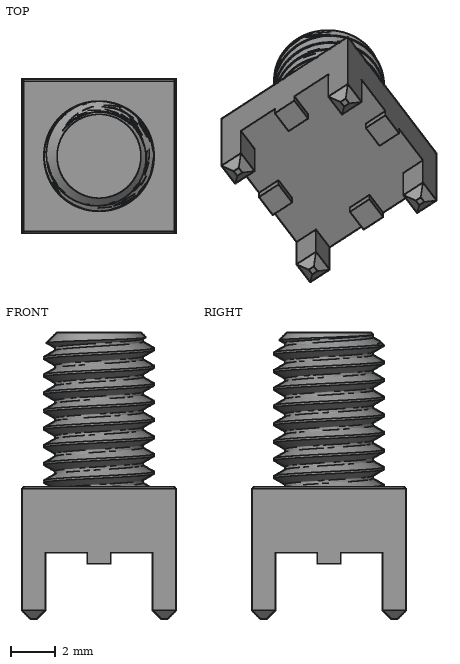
import math

import cadquery as cq

body_width = 7.0
body_height = 3.0
body_top_chamfer = 0.1

leg_width = 1.08
pin_length = 3.0
pin_tip_chamfer = 0.4
standoff_height = 0.5
leg_offset = (body_width - leg_width) / 2

major_diameter = 5.0
pitch = 0.8
stud_length = 7.0
stud_tip_chamfer = 0.6
flank_half_angle = math.radians(30)
crest_flat = pitch / 8
sharp_v_height = pitch / (2 * math.tan(flank_half_angle))
thread_depth = sharp_v_height * 17 / 24
root_above_body = 0.235

major_radius = major_diameter / 2
root_radius = major_radius - thread_depth
root_flat = pitch - crest_flat - 2 * thread_depth * math.tan(flank_half_angle)
spiral_steps = 8


def make_body():
    """Square block with a small chamfer around its top face."""
    block = cq.Workplane("XY").box(body_width, body_width, body_height, centered=(True, True, False))
    return block.faces(">Z").edges().chamfer(body_top_chamfer)


def make_leg(x, y, length):
    """Square post hanging from the bottom face of the body."""
    return cq.Workplane("XY").center(x, y).rect(leg_width, leg_width).extrude(-length)


def make_pin(x, y):
    """Corner pin with its end tapered on all four sides."""
    return make_leg(x, y, pin_length).faces("<Z").edges().chamfer(pin_tip_chamfer)


def flank_points(side):
    """Points from root to crest along a flank's spiral in the stud's cross-section.

    A straight flank on a helix cuts a horizontal plane in a spiral whose radius grows evenly with angle.
    The groove is centred on angle zero, and side (+1 or -1) selects the flank.
    """
    root_angle = math.pi * root_flat / pitch
    crest_angle = math.pi * (pitch - crest_flat) / pitch
    points = []
    for step in range(spiral_steps + 1):
        fraction = step / spiral_steps
        radius = root_radius + thread_depth * fraction
        angle = side * (root_angle + (crest_angle - root_angle) * fraction)
        points.append((radius * math.cos(angle), radius * math.sin(angle)))
    return points


def make_threaded_rod():
    """Horizontal thread section twisted one turn per pitch along the stud."""
    outward = flank_points(1)
    inward = flank_points(-1)[::-1]
    section = (
        cq.Workplane("XY")
        .moveTo(*outward[0])
        .spline(outward[1:], includeCurrent=True)
        .threePointArc((-major_radius, 0), inward[0])
        .spline(inward[1:], includeCurrent=True)
        .threePointArc((root_radius, 0), outward[0])
        .close()
    )
    rod = section.twistExtrude(stud_length, 360 * stud_length / pitch)
    start_angle = -360 * root_above_body / pitch
    return rod.rotate((0, 0, 0), (0, 0, 1), start_angle).translate((0, 0, body_height))


def make_stud():
    """Threaded rod with a 45-degree chamfer at its tip."""
    margin = 0.2
    envelope = (
        cq.Workplane("XY")
        .workplane(offset=body_height)
        .circle(major_radius + margin)
        .extrude(stud_length)
        .faces(">Z")
        .chamfer(stud_tip_chamfer + margin)
    )
    return make_threaded_rod().intersect(envelope)


part = make_body()

for x_side in (-1, 1):
    for y_side in (-1, 1):
        part = part.union(make_pin(x_side * leg_offset, y_side * leg_offset))

for x_side, y_side in ((1, 0), (0, 1), (-1, 0), (0, -1)):
    part = part.union(make_leg(x_side * leg_offset, y_side * leg_offset, standoff_height))

result = part.union(make_stud())